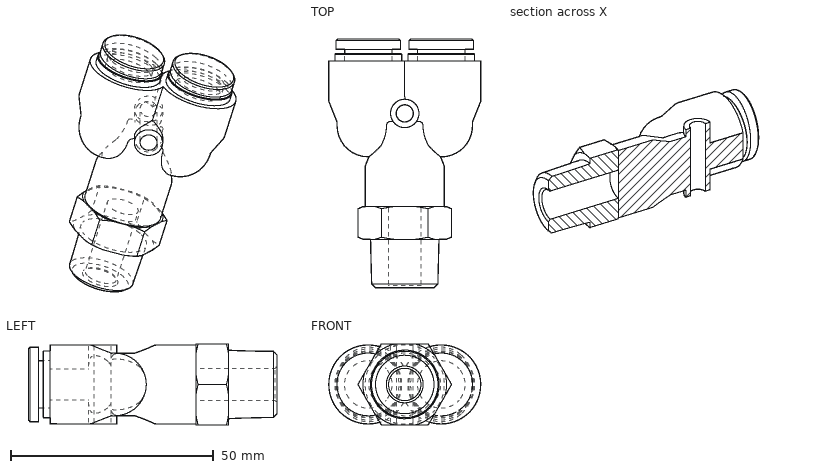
import cadquery as cq
import math


thread_length = 12.0
thread_end_diameter = 16.4
thread_base_diameter = 16.95
thread_chamfer = 1.0
hex_width = 20.0
hex_length = 8.1
hex_chamfer_diameter = 20.6
hex_chamfer_length = 0.55
bore_diameter = 8.0
bore_chamfer = 0.55

body_diameter = 19.5
waist_diameter = 15.5
blend_radius = 1.0
stem_wide_length = 10.0
cone_length = 5.05
arm_spacing = 18.0
arm_wide_length = 10.0
dome_neck_length = 0.9
boss_diameter = 7.0
boss_hole_diameter = 4.2
boss_center = 43.05

ring_diameter = 16.5
ring_length = 1.8
ring_chamfer = 0.2
neck_diameter = 11.7
neck_gap = 1.05
flange_width = 15.95
flange_height = 18.4
flange_length = 2.6
flange_chamfer = 0.4

total_length = 61.4
hex_end = thread_length + hex_length
stem_cone_start = hex_end + stem_wide_length
stem_cone_end = stem_cone_start + cone_length
flange_start = total_length - flange_length
ring_end = flange_start - neck_gap
arm_end = ring_end - ring_length
arm_cone_end = arm_end - arm_wide_length
arm_cone_start = arm_cone_end - cone_length
dome_center = arm_cone_start - dome_neck_length
stem_end = dome_center + blend_radius

body_radius = body_diameter / 2
waist_radius = waist_diameter / 2
arm_positions = [-arm_spacing / 2, arm_spacing / 2]


def rod(diameter, start, end):
    """Cylinder on the Y axis between two stations."""
    return cq.Workplane("XZ", origin=(0, start, 0)).circle(diameter / 2).extrude(start - end)


def revolve_about_y(profile):
    """Turn a closed profile of (radius, Y) points around the Y axis."""
    return profile.close().revolve(360, (0, 0, 0), (0, 1, 0))


def round_edges(solid, stations):
    """Round the circular edges given by (Y, radius) with the blend radius."""
    margin = 0.05
    for y, radius in stations:
        reach = radius + margin
        edge_box = cq.selectors.BoxSelector(
            (-reach, y - margin, -reach), (reach, y + margin, reach), boundingbox=True
        )
        solid = solid.edges(edge_box).fillet(blend_radius)
    return solid


def make_stem():
    """Stem on the Y axis: wide foot, cone and a waist with a rounded flat end between the arms."""
    profile = (
        cq.Workplane("XY")
        .moveTo(0, hex_end)
        .lineTo(body_radius, hex_end)
        .lineTo(body_radius, stem_cone_start)
        .lineTo(waist_radius, stem_cone_end)
        .lineTo(waist_radius, stem_end)
        .lineTo(0, stem_end)
    )
    blended_edges = [(stem_cone_start, body_radius), (stem_cone_end, waist_radius), (stem_end, waist_radius)]
    return round_edges(revolve_about_y(profile), blended_edges)


def make_arm():
    """Arm on the Y axis: wide socket, cone and hemispherical closed end."""
    dome_middle = waist_radius * math.sqrt(0.5)
    profile = (
        cq.Workplane("XY")
        .moveTo(0, arm_end)
        .lineTo(body_radius, arm_end)
        .lineTo(body_radius, arm_cone_end)
        .lineTo(waist_radius, arm_cone_start)
        .lineTo(waist_radius, dome_center)
        .threePointArc((dome_middle, dome_center - dome_middle), (0, dome_center - waist_radius))
    )
    blended_edges = [(arm_cone_end, body_radius), (arm_cone_start, waist_radius)]
    return round_edges(revolve_about_y(profile), blended_edges)


def make_housing():
    boss_base = cq.Workplane("XY", origin=(0, boss_center, -body_radius))
    housing = make_stem()
    for x in arm_positions:
        housing = housing.union(make_arm().translate((x, 0, 0)))
    housing = housing.union(boss_base.circle(boss_diameter / 2).extrude(body_diameter))
    return housing.cut(boss_base.circle(boss_hole_diameter / 2).extrude(body_diameter))


def make_hexagon():
    """Hexagon with flats facing up and down and its corners turned off at both ends."""
    corner_diameter = hex_width / math.cos(math.pi / 6)
    hexagon = (
        cq.Workplane("XZ", origin=(0, thread_length, 0))
        .polygon(6, corner_diameter)
        .extrude(-hex_length)
    )
    corner_radius = corner_diameter / 2
    chamfer_radius = hex_chamfer_diameter / 2
    envelope = (
        cq.Workplane("XY")
        .moveTo(0, thread_length)
        .lineTo(chamfer_radius, thread_length)
        .lineTo(corner_radius, thread_length + hex_chamfer_length)
        .lineTo(corner_radius, hex_end - hex_chamfer_length)
        .lineTo(chamfer_radius, hex_end)
        .lineTo(0, hex_end)
    )
    return hexagon.intersect(revolve_about_y(envelope))


def make_thread():
    end_radius = thread_end_diameter / 2
    profile = (
        cq.Workplane("XY")
        .lineTo(end_radius - thread_chamfer, 0)
        .lineTo(end_radius, thread_chamfer)
        .lineTo(thread_base_diameter / 2, thread_length)
        .lineTo(0, thread_length)
    )
    return revolve_about_y(profile)


def make_bore():
    """Space of the bore, which the housing closes at the far face of the hexagon."""
    bore_radius = bore_diameter / 2
    profile = (
        cq.Workplane("XY")
        .lineTo(bore_radius + bore_chamfer, 0)
        .lineTo(bore_radius, bore_chamfer)
        .lineTo(bore_radius, hex_end)
        .lineTo(0, hex_end)
    )
    return revolve_about_y(profile)


def make_stud():
    return make_thread().union(make_hexagon()).cut(make_bore())


def make_guide_ring():
    """Ring on the end face of an arm, with the button neck passing through it."""
    ring = rod(ring_diameter, arm_end, ring_end).faces(">Y").edges().chamfer(ring_chamfer)
    return ring.cut(rod(neck_diameter, arm_end, ring_end))


def make_release_button():
    """Round neck standing on the arm, carrying an oval flange."""
    flange = (
        cq.Workplane("XZ", origin=(0, flange_start, 0))
        .ellipse(flange_width / 2, flange_height / 2)
        .extrude(-flange_length)
        .faces(">Y")
        .edges()
        .chamfer(flange_chamfer)
    )
    return flange.union(rod(neck_diameter, arm_end, flange_start))


housing = make_housing()
stud = make_stud()
guide_rings = [make_guide_ring().translate((x, 0, 0)) for x in arm_positions]
release_buttons = [make_release_button().translate((x, 0, 0)) for x in arm_positions]

bodies = [housing, stud, *guide_rings, *release_buttons]
result = cq.Compound.makeCompound([body.val() for body in bodies])